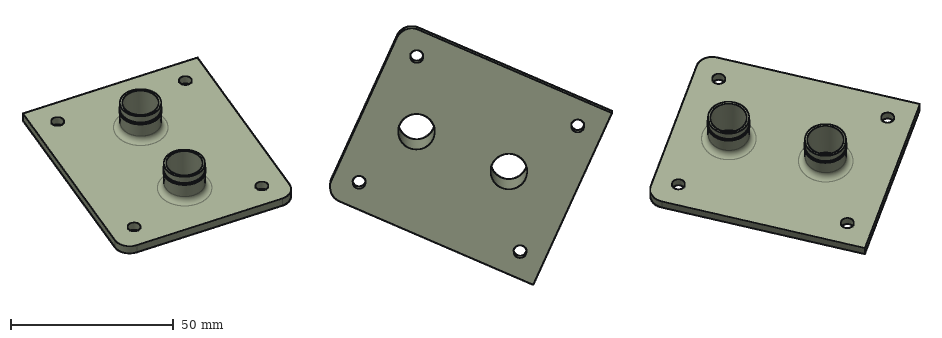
import cadquery as cq

plate_length = 70.0
plate_width = 59.5
plate_thickness = 3.0
corner_radius = 5.0

hole_diameter = 4.0
hole_inset = 8.0

total_height = 13.0
spigot_x = 21.4
spigot_spacing = 31.0
bore_diameter = 11.2
spigot_diameter = 12.7
root_radius = 2.0

bead_diameter = 13.1
bead_band_height = 0.5
bead_flare_height = 0.2
bead_top_depth = 2.45


def make_plate():
    plate = cq.Workplane("XY").box(plate_length, plate_width, plate_thickness, centered=False)
    plate = plate.edges("|Z and >X").fillet(corner_radius)
    hole_points = [
        (x, y)
        for x in (hole_inset, plate_length - hole_inset)
        for y in (hole_inset, plate_width - hole_inset)
    ]
    holes = cq.Workplane("XY").pushPoints(hole_points).circle(hole_diameter / 2).extrude(plate_thickness)
    return plate.cut(holes)


def make_spigot():
    """Revolve the solid outer profile of one spigot about the Z axis."""
    radius = spigot_diameter / 2
    bead_radius = bead_diameter / 2
    root_top = plate_thickness + root_radius
    bead_top = total_height - bead_top_depth
    band_top = bead_top - bead_flare_height
    bead_bottom = band_top - bead_band_height
    root_centre_x = radius + root_radius
    diagonal = root_radius * 0.5**0.5
    return (
        cq.Workplane("XZ")
        .lineTo(root_centre_x, 0)
        .lineTo(root_centre_x, plate_thickness)
        .threePointArc((root_centre_x - diagonal, root_top - diagonal), (radius, root_top))
        .lineTo(radius, bead_bottom)
        .lineTo(bead_radius, bead_bottom)
        .lineTo(bead_radius, band_top)
        .lineTo(radius, bead_top)
        .lineTo(radius, total_height)
        .lineTo(0, total_height)
        .close()
        .revolve(360, (0, 0, 0), (0, 1, 0))
    )


result = make_plate()
spigot = make_spigot()
bore = cq.Workplane("XY").circle(bore_diameter / 2).extrude(total_height)
for x in (spigot_x, spigot_x + spigot_spacing):
    position = (x, plate_width / 2, 0)
    result = result.union(spigot.translate(position)).cut(bore.translate(position))